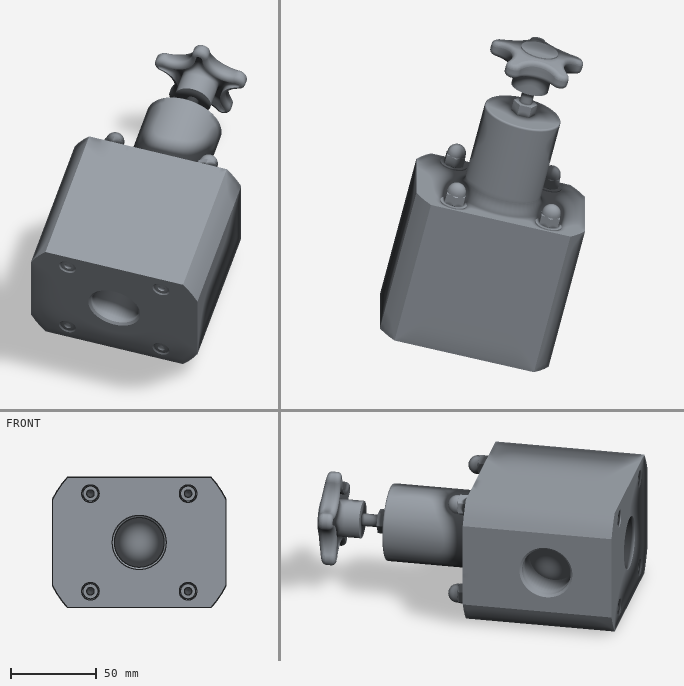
import cadquery as cq
import math

body_width = 101.6
body_height = 76.2
body_length = 89.0
body_corner_diameter = 113.5

port_diameter = 29.1
port_chamfer = 1.3
port_depth = 22.1
side_port_y = 39.2

bolt_spacing = 57.0
bolt_mouth_diameter = 10.3
bolt_end_diameter = 8.8
bolt_end_depth = 0.7
bolt_center_hole_diameter = 4.5
bolt_center_hole_depth = 3.7
drill_tip_angle = 118.0
washer_diameter = 15.8
washer_thickness = 0.7
cap_nut_flats = 11.0
cap_nut_turn = 30.0
cap_nut_hex_height = 6.0
cap_nut_chamfer = 0.5
cap_nut_collar_height = 1.0

bonnet_diameter = 45.7
bonnet_length = 54.1
bonnet_edge_radius = 1.1
bonnet_root_radius = 6.0
lock_nut_flats = 12.3
lock_nut_height = 6.6
lock_nut_turn = 0.0
spindle_diameter = 7.4

overall_length = 184.1
hub_diameter = 22.1
hub_length = 12.7
knob_height = 12.0
arm_count = 5
arm_tip_center = 24.0
arm_tip_radius = 4.8
knob_edge_radius = 2.8
knob_dome_radius = 105.0
hub_cap_rise = 0.2
pocket_wall = 2.8
pocket_depth = 5.5
pocket_floor_radius = 1.5
hub_root_radius = 2.8

bonnet_end_y = body_length + bonnet_length
knob_base_y = overall_length - knob_height
hub_base_y = knob_base_y - hub_length


def plane_at(y):
    """Plane across the main axis at distance y: local X is +X, local Y is +Z, the normal is -Y."""
    return cq.Workplane("XZ", origin=(0, y, 0))


def cylinder(diameter, y_start, y_end):
    return plane_at(y_start).circle(diameter / 2).extrude(y_start - y_end)


def turned(profile):
    """Solid of revolution about the Y axis from (radius, y) points."""
    return cq.Workplane("XY").polyline(profile).close().revolve(360, (0, 0, 0), (0, 1, 0))


def hexagon(flats, y_start, y_end, turn):
    """Hexagonal prism along Y; at zero turn two of its corners lie on the X axis."""
    corner_diameter = flats / math.cos(math.pi / 6)
    prism = plane_at(y_start).polygon(6, corner_diameter).extrude(y_start - y_end)
    return prism.rotate((0, 0, 0), (0, 1, 0), turn)


def at_bolts(shape):
    """One copy of the shape on each of the four bolt axes."""
    half = bolt_spacing / 2
    copies = cq.Workplane()
    for x in (-half, half):
        for z in (-half, half):
            copies = copies.add(shape.translate((x, 0, z)))
    return copies.combine()


def make_body():
    block = plane_at(0).rect(body_width, body_height).extrude(-body_length)
    return block.intersect(cylinder(body_corner_diameter, 0, body_length))


def make_port():
    """Blind flat-bottomed bore along +Y from the origin, chamfered at its mouth."""
    radius = port_diameter / 2
    profile = [
        (0, 0),
        (radius + port_chamfer, 0),
        (radius, port_chamfer),
        (radius, port_depth),
        (0, port_depth),
    ]
    return turned(profile)


def make_bolt_recess():
    """Shallow countersink down to the bolt end, with a drilled centre hole in it."""
    drill_radius = bolt_center_hole_diameter / 2
    drill_end = bolt_end_depth + bolt_center_hole_depth
    drill_tip = drill_end + drill_radius / math.tan(math.radians(drill_tip_angle / 2))
    profile = [
        (0, 0),
        (bolt_mouth_diameter / 2, 0),
        (bolt_end_diameter / 2, bolt_end_depth),
        (drill_radius, bolt_end_depth),
        (drill_radius, drill_end),
        (0, drill_tip),
    ]
    return turned(profile)


def make_cap_nut():
    """Washer and domed hexagon nut standing on the back of the body."""
    hex_start = body_length + washer_thickness
    hex_end = hex_start + cap_nut_hex_height
    dome_start = hex_end + cap_nut_collar_height
    corner_diameter = cap_nut_flats / math.cos(math.pi / 6)
    corner_width = (corner_diameter - cap_nut_flats) / 2

    washer = cylinder(washer_diameter, body_length, hex_start)
    turned_blank = cylinder(corner_diameter, hex_start, hex_end)
    turned_blank = turned_blank.faces("<Y or >Y").edges().chamfer(cap_nut_chamfer, corner_width)
    nut = hexagon(cap_nut_flats, hex_start, hex_end, cap_nut_turn).intersect(turned_blank)
    collar = cylinder(cap_nut_flats, hex_end, dome_start)
    dome = cq.Workplane(origin=(0, dome_start, 0)).sphere(cap_nut_flats / 2)
    return washer.union(nut).union(collar).union(dome)


def flared_cylinder(diameter, flare_radius, length):
    """Cylinder along +Y from the origin with a concave flare around its start."""
    radius = diameter / 2
    bend = 1 - math.sqrt(0.5)
    flare_middle = (radius + flare_radius * bend, flare_radius * bend)
    profile = (
        cq.Workplane("XY")
        .lineTo(radius + flare_radius, 0)
        .threePointArc(flare_middle, (radius, flare_radius))
        .lineTo(radius, length)
        .lineTo(0, length)
        .close()
    )
    return profile.revolve(360, (0, 0, 0), (0, 1, 0))


def make_bonnet():
    """Flared cylinder standing on the back of the body, its far edge rounded."""
    bonnet = flared_cylinder(bonnet_diameter, bonnet_root_radius, bonnet_length)
    bonnet = bonnet.faces(">Y").edges().fillet(bonnet_edge_radius)
    return bonnet.translate((0, body_length, 0))


def polar(radius, angle):
    return (radius * math.cos(angle), radius * math.sin(angle))


def star_outline(inset):
    """Round-ended arms joined by concave arcs that run tangent into the arm tips."""
    half_pitch = math.pi / arm_count
    tip_radius = arm_tip_radius - inset
    valley_radius = arm_tip_center * math.tan(half_pitch) - tip_radius
    valley_bottom = arm_tip_center / math.cos(half_pitch) - valley_radius
    side_distance = math.hypot(arm_tip_center, tip_radius)
    side_angle = math.atan2(tip_radius, arm_tip_center)

    first_arm = math.pi / 2
    outline = plane_at(knob_base_y).moveTo(*polar(side_distance, first_arm - side_angle))
    for arm in range(arm_count):
        angle = first_arm + 2 * half_pitch * arm
        valley_angle = angle + half_pitch
        next_side = valley_angle + half_pitch - side_angle
        outline = outline.threePointArc(
            polar(arm_tip_center + tip_radius, angle),
            polar(side_distance, angle + side_angle),
        )
        outline = outline.threePointArc(
            polar(valley_bottom, valley_angle),
            polar(side_distance, next_side),
        )
    return outline.close()


def make_knob():
    """Domed star, hollow underneath, on a cylindrical hub."""
    dome_top = overall_length - hub_cap_rise
    dome = cq.Workplane(origin=(0, dome_top - knob_dome_radius, 0)).sphere(knob_dome_radius)
    star = star_outline(0).extrude(-knob_height).intersect(dome)
    star = star.faces("<Y or >Y").edges().fillet(knob_edge_radius)

    pocket = star_outline(pocket_wall).extrude(-pocket_depth)
    pocket = pocket.faces(">Y").edges().fillet(pocket_floor_radius)
    hub = cylinder(hub_diameter, hub_base_y, overall_length)
    hub_root = flared_cylinder(hub_diameter, hub_root_radius, pocket_depth)
    hub_root = hub_root.rotate((0, 0, 0), (1, 0, 0), 180)
    pocket = pocket.cut(hub_root.translate((0, knob_base_y + pocket_depth, 0)))
    return star.cut(pocket).union(hub)


body = make_body()
body = body.cut(make_port())
side_port = make_port().rotate((0, 0, 0), (0, 0, 1), -90)
body = body.cut(side_port.translate((-body_width / 2, side_port_y, 0)))
body = body.cut(at_bolts(make_bolt_recess()))

lock_nut = hexagon(lock_nut_flats, bonnet_end_y, bonnet_end_y + lock_nut_height, lock_nut_turn)
spindle = cylinder(spindle_diameter, bonnet_end_y, hub_base_y)

result = (
    body.union(make_bonnet())
    .union(at_bolts(make_cap_nut()))
    .union(lock_nut)
    .union(spindle)
    .union(make_knob())
)